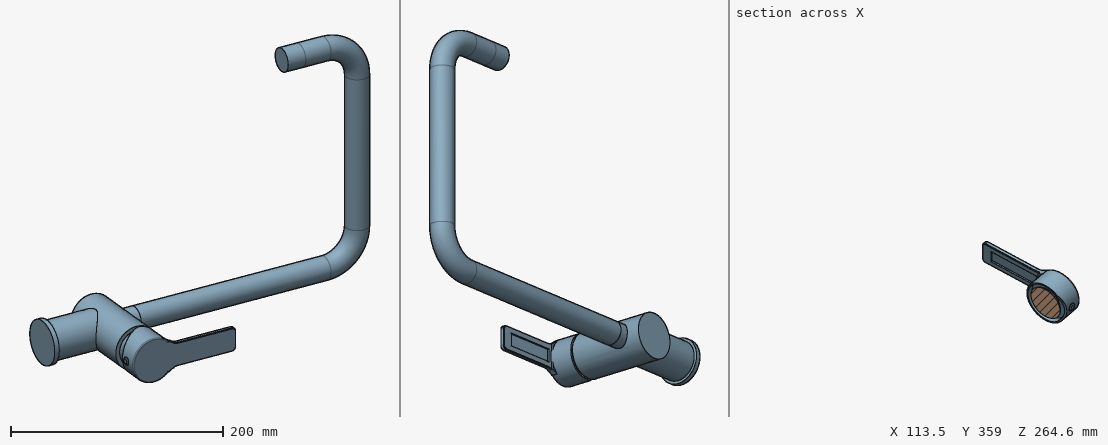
import cadquery as cq


barrel_diameter = 45.5
barrel_radius = barrel_diameter / 2
barrel_left = -26.0
barrel_right = 56.0
shank_diameter = 40.0
shank_radius = shank_diameter / 2
flange_radius = barrel_radius
flange_thickness = 5.0
base_y = -70.0
neck_radius = 18.5
neck_right = 69.5
neck_edge_radius = 9.0
spout_joint_y = 32.0

pipe_diameter = 24.0
pipe_radius = pipe_diameter / 2
bend_radius = 36.0
outlet_height = 229.8
overall_length = 359.0
riser_y = base_y + overall_length - pipe_radius
outlet_y = 194.0
aerator_length = 19.5

cap_left = 58.0
cap_right = 87.5
cap_edge_fillet = 1.0
cavity_radius = 21.0
cavity_clearance = 1.0
cavity_right = neck_right + cavity_clearance
relief_start_y = -0.7
relief_width = 10.0

button_x = 75.5
button_radius = 4.0
button_height = 1.5
button_chamfer = 1.0

lever_thickness = 4.5
lever_tip_y = 90.5
lever_half_height = 12.2
lever_corner_radius = 4.0
lever_edge_chamfer = 0.7
root_y = 15.8
root_half_height = 16.5
flare_start_y = 27.3
foot_thickness = 6.5
foot_top_y = 22.0
pocket_depth = 1.8
pocket_half_height = 6.5
pocket_tip_inset = 10.8
pocket_tip_y = lever_tip_y - pocket_tip_inset
pocket_root_y = 25.0


def rod_along_x(radius, start_x, end_x):
    """Solid cylinder on the barrel axis."""
    return cq.Workplane("YZ").workplane(offset=start_x).circle(radius).extrude(end_x - start_x)


def rod_along_y(radius, start_y, end_y):
    """Solid cylinder on the spout and shank axis."""
    return cq.Workplane("XZ").workplane(offset=-start_y).circle(radius).extrude(start_y - end_y)


def make_housing():
    """Barrel with its cartridge neck, base shank, flange and spout stub."""
    barrel = rod_along_x(barrel_radius, barrel_left, barrel_right)
    neck = rod_along_x(neck_radius, barrel_right, neck_right)
    neck = neck.faces(">X").edges().fillet(neck_edge_radius)
    shank = rod_along_y(shank_radius, base_y, 0)
    flange = rod_along_y(flange_radius, base_y, base_y + flange_thickness)
    spout_stub = rod_along_y(pipe_radius, 0, spout_joint_y)
    return barrel.union(neck).union(shank).union(flange).union(spout_stub)


def make_spout():
    """Pipe with two bends, ending in an aerator of the same diameter."""
    path = (
        cq.Workplane("YZ")
        .moveTo(spout_joint_y, 0)
        .lineTo(riser_y - bend_radius, 0)
        .tangentArcPoint((riser_y, bend_radius), relative=False)
        .lineTo(riser_y, outlet_height - bend_radius)
        .tangentArcPoint((riser_y - bend_radius, outlet_height), relative=False)
        .lineTo(outlet_y + aerator_length, outlet_height)
    )
    pipe = cq.Workplane("XZ").workplane(offset=-spout_joint_y).circle(pipe_radius).sweep(path)
    aerator = rod_along_y(pipe_radius, outlet_y, outlet_y + aerator_length).translate((0, 0, outlet_height))
    return pipe.union(aerator, clean=False)


def make_cap():
    """Hollow cap with its -Y corner next to the barrel cut away to let the handle tilt."""
    cap = rod_along_x(barrel_radius, cap_left, cap_right).faces(">X").edges().fillet(cap_edge_fillet)
    cavity = rod_along_x(cavity_radius, cap_left, cavity_right)
    relief = (
        cq.Workplane("XY")
        .moveTo(cap_left, relief_start_y)
        .lineTo(cap_left + relief_width, -barrel_radius)
        .lineTo(cap_left, -barrel_radius)
        .close()
        .extrude(barrel_radius, both=True)
    )
    return cap.cut(cavity).cut(relief)


def make_button():
    """Round index button whose face follows the curve of the cap."""
    face_radius = barrel_radius + button_height
    button = rod_along_y(button_radius, -face_radius, -cavity_radius).translate((button_x, 0, 0))
    curved_face = rod_along_x(face_radius, cap_left, cap_right)
    return button.intersect(curved_face).faces("<Y").edges().chamfer(button_chamfer)


def root_flare(side):
    """Arc midpoint of the lever flare on the given side (+1 upper, -1 lower)."""
    run = flare_start_y - root_y
    rise = root_half_height - lever_half_height
    return (root_y + run / 2, side * (lever_half_height + rise / 4))


def lever_blank(thickness):
    """Paddle with rounded tip corners and a root that flares up and down."""
    return (
        cq.Workplane("YZ")
        .workplane(offset=cap_right - thickness)
        .moveTo(root_y, -root_half_height)
        .threePointArc(root_flare(-1), (flare_start_y, -lever_half_height))
        .lineTo(lever_tip_y, -lever_half_height)
        .lineTo(lever_tip_y, lever_half_height)
        .lineTo(flare_start_y, lever_half_height)
        .threePointArc(root_flare(1), (root_y, root_half_height))
        .close()
        .extrude(thickness)
        .edges("|X and >Y")
        .fillet(lever_corner_radius)
    )


def make_lever():
    """Paddle with chamfered edges, a pocketed inner face and a thicker foot set in the cap."""
    paddle = lever_blank(lever_thickness).faces("<X or >X").edges().chamfer(lever_edge_chamfer)
    foot_zone = (
        cq.Workplane("YZ")
        .workplane(offset=cap_right - foot_thickness)
        .rect(2 * foot_top_y, 2 * barrel_radius)
        .extrude(foot_thickness)
    )
    foot = lever_blank(foot_thickness).intersect(foot_zone)
    pocket = (
        cq.Workplane("YZ")
        .workplane(offset=cap_right - lever_thickness)
        .center((pocket_root_y + pocket_tip_y) / 2, 0)
        .rect(pocket_tip_y - pocket_root_y, 2 * pocket_half_height)
        .extrude(pocket_depth)
    )
    return paddle.cut(pocket).union(foot)


def make_handle():
    """Cap, index button and lever as one solid."""
    return make_cap().union(make_button()).union(make_lever())


housing = make_housing()
spout = make_spout()
handle = make_handle()

result = cq.Compound.makeCompound([housing.val(), spout.val(), handle.val()])